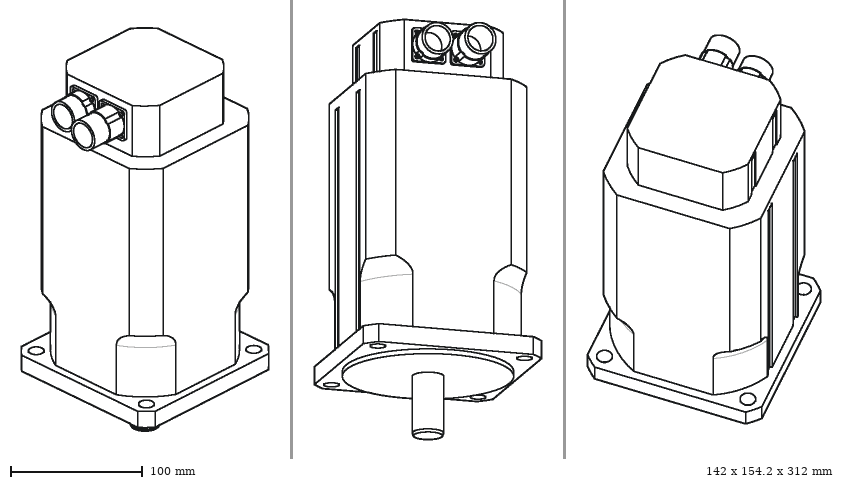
import cadquery as cq
import math

TOTAL_HEIGHT = 312.0
PILOT_BOTTOM = 46.8
FLANGE_BOTTOM = 50.5
FLANGE_TOP = 64.5
HOUSING_TOP = 267.7

SHAFT_DIA = 24.0
SHAFT_CHAMFER_HEIGHT = 2.2
SHAFT_CHAMFER_WIDTH = 1.0
PILOT_DIA = 130.0

FLANGE_SIDE = 142.0
FLANGE_TURNED_DIA = 187.8
BOLT_HOLE_DIA = 12.0
BOLT_SPACING = 116.7

HOUSING_SIDE = 128.2
HOUSING_TURNED_DIA = 158.0
RELIEF_DIA = 143.5
RELIEF_STRAIGHT_TOP = 108.0
RELIEF_TOP = 121.7

CAP_SIDE = 98.3
CAP_TURNED_DIA = 119.8

HOUSING_GROOVE_WIDTH = 8.0
HOUSING_GROOVE_SPACING = 53.0
HOUSING_GROOVE_TOP = 259.0
HOUSING_GROOVE_DEPTH = 2.0
CAP_GROOVE_WIDTH = 8.5
CAP_GROOVE_SPACING = 44.0
CAP_GROOVE_TOP = 308.0
CAP_GROOVE_DEPTH = 1.0

CONNECTOR_SPACING = 31.0
CONNECTOR_Z = 292.5
PLATE_SIDE = 26.2
PLATE_THICKNESS = 2.8
PLATE_CORNER_RADIUS = 2.2
COLLAR_DIA = 26.2
BARREL_DIA = 24.5
BORE_DIA = 20.0
SCREW_HOLE_DIA = 2.7
SCREW_SPACING = 19.5
SCREW_CHANNEL_DIA = 5.0
LEFT_COLLAR_END = 11.0
LEFT_LENGTH = 24.0
RIGHT_COLLAR_END = 17.8
RIGHT_LENGTH = 34.0


def disc(diameter, bottom, top):
    """Cylinder on the motor axis between two heights."""
    return cq.Workplane("XY").workplane(offset=bottom).circle(diameter / 2).extrude(top - bottom)


def turned_square(side, turned_dia, bottom, top):
    """Square prism whose corners are rounded by a cylinder on the motor axis."""
    prism = cq.Workplane("XY").workplane(offset=bottom).rect(side, side).extrude(top - bottom)
    return prism.intersect(disc(turned_dia, bottom, top))


def make_shaft():
    shaft = disc(SHAFT_DIA, 0, PILOT_BOTTOM)
    return shaft.faces("<Z").edges().chamfer(SHAFT_CHAMFER_HEIGHT, SHAFT_CHAMFER_WIDTH)


def make_flange():
    flange = turned_square(FLANGE_SIDE, FLANGE_TURNED_DIA, FLANGE_BOTTOM, FLANGE_TOP)
    bolt_holes = (
        cq.Workplane("XY")
        .workplane(offset=FLANGE_BOTTOM)
        .rect(BOLT_SPACING, BOLT_SPACING, forConstruction=True)
        .vertices()
        .circle(BOLT_HOLE_DIA / 2)
        .extrude(FLANGE_TOP - FLANGE_BOTTOM)
    )
    return flange.cut(bolt_holes)


def make_corner_relief():
    """Ring that thins the housing corners and blends out to them with a concave arc."""
    inner = RELIEF_DIA / 2
    outer = HOUSING_TURNED_DIA / 2
    rise = RELIEF_TOP - RELIEF_STRAIGHT_TOP
    run = outer - inner
    radius = (run**2 + rise**2) / (2 * run)
    half_angle = math.asin(rise / radius) / 2
    arc_middle = (
        inner + radius * (1 - math.cos(half_angle)),
        RELIEF_STRAIGHT_TOP + radius * math.sin(half_angle),
    )
    return (
        cq.Workplane("XZ")
        .moveTo(inner, FLANGE_TOP)
        .lineTo(inner, RELIEF_STRAIGHT_TOP)
        .threePointArc(arc_middle, (outer, RELIEF_TOP))
        .lineTo(HOUSING_SIDE, RELIEF_TOP)
        .lineTo(HOUSING_SIDE, FLANGE_TOP)
        .close()
        .revolve(360, (0, 0, 0), (0, 1, 0))
    )


def make_side_grooves(block_side, depth, width, spacing, bottom, top):
    """Pair of vertical grooves in the -X face of a square block."""
    return (
        cq.Workplane("XY")
        .workplane(offset=bottom)
        .pushPoints([(-block_side / 2, -spacing / 2), (-block_side / 2, spacing / 2)])
        .rect(2 * depth, width)
        .extrude(top - bottom)
    )


def make_housing():
    housing = turned_square(HOUSING_SIDE, HOUSING_TURNED_DIA, FLANGE_TOP, HOUSING_TOP)
    grooves = make_side_grooves(
        HOUSING_SIDE,
        HOUSING_GROOVE_DEPTH,
        HOUSING_GROOVE_WIDTH,
        HOUSING_GROOVE_SPACING,
        FLANGE_TOP,
        HOUSING_GROOVE_TOP,
    )
    return housing.cut(make_corner_relief()).cut(grooves)


def make_cap():
    cap = turned_square(CAP_SIDE, CAP_TURNED_DIA, HOUSING_TOP, TOTAL_HEIGHT)
    grooves = make_side_grooves(
        CAP_SIDE,
        CAP_GROOVE_DEPTH,
        CAP_GROOVE_WIDTH,
        CAP_GROOVE_SPACING,
        HOUSING_TOP,
        CAP_GROOVE_TOP,
    )
    return cap.cut(grooves)


def make_motor():
    pilot = disc(PILOT_DIA, PILOT_BOTTOM, FLANGE_BOTTOM)
    return make_shaft().union(pilot).union(make_flange()).union(make_housing()).union(make_cap())


def make_connector(x, collar_end, length):
    """Hollow connector standing out in -Y; its lengths are measured from the cap face."""
    cap_face = cq.Workplane("XZ", origin=(x, -CAP_SIDE / 2, CONNECTOR_Z))
    plate_front = cap_face.workplane(offset=PLATE_THICKNESS)

    plate = cap_face.rect(PLATE_SIDE, PLATE_SIDE).extrude(PLATE_THICKNESS)
    plate = plate.edges("|Y").fillet(PLATE_CORNER_RADIUS)
    screws = cap_face.rect(SCREW_SPACING, SCREW_SPACING, forConstruction=True).vertices()
    plate = plate.cut(screws.circle(SCREW_HOLE_DIA / 2).extrude(PLATE_THICKNESS))

    collar_length = collar_end - PLATE_THICKNESS
    collar = plate_front.circle(COLLAR_DIA / 2).extrude(collar_length)
    channels = plate_front.rect(SCREW_SPACING, SCREW_SPACING, forConstruction=True).vertices()
    collar = collar.cut(channels.circle(SCREW_CHANNEL_DIA / 2).extrude(collar_length))

    barrel = cap_face.workplane(offset=collar_end).circle(BARREL_DIA / 2).extrude(length - collar_end)
    bore = plate_front.circle(BORE_DIA / 2).extrude(length - PLATE_THICKNESS)
    return plate.union(collar).union(barrel).cut(bore)


motor = make_motor()
connectors = [
    make_connector(x, collar_end, length)
    for x, collar_end, length in (
        (-CONNECTOR_SPACING / 2, LEFT_COLLAR_END, LEFT_LENGTH),
        (CONNECTOR_SPACING / 2, RIGHT_COLLAR_END, RIGHT_LENGTH),
    )
]

result = cq.Compound.makeCompound([motor.val(), *[connector.val() for connector in connectors]])